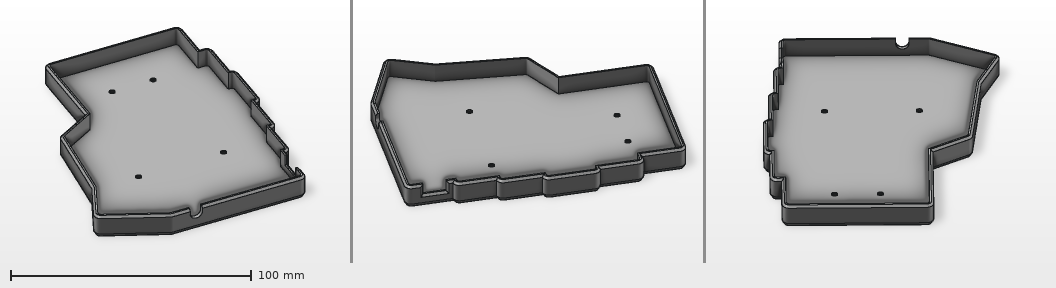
import cadquery as cq
import math

height = 10.6
floor_thickness = 2.3

outer_offset = 3.0
cavity_offset = 1.25

edge_inset = 1.0
top_edge_height = 1.0
bottom_edge_height = 1.75

key_pitch = 19.05
columns = 6
rows = 3
stagger = 2.375
last_step_inset = 1.05

plate_width = columns * key_pitch
low_row_top = rows * key_pitch

step_blocks = [
    (key_pitch, 5 * key_pitch - last_step_inset, stagger),
    (key_pitch, 4 * key_pitch, 2 * stagger),
    (2 * key_pitch, 3 * key_pitch, 3 * stagger),
]

thumb_start = (2 * key_pitch, 0)
thumb_slant_angle = 60
thumb_slant_length = 19.2
thumb_middle = (85.4, -20.7)
thumb_tip = (102.6, -28.34)
thumb_side_angle = 66

screw_diameter = 2.5
screw_head_diameter = 4.8
screw_head_depth = 1.7
left_screw_x = 17.1
right_screw_x = 4 * key_pitch
front_right_screw_y = 2.2
back_right_screw_y = 41.6
screw_points = [
    (left_screw_x, key_pitch),
    (left_screw_x, 2 * key_pitch),
    (right_screw_x, front_right_screw_y),
    (right_screw_x, back_right_screw_y),
]

back_notch_column = 5.5
back_notch_width = 10.0
back_notch_floor = 5.55

side_notch_diameter = 5.6
side_notch_y = 8.8
side_notch_axis_z = 8.3

notch_reach = 8.0


def base_outline():
    """Plate outline without the raised columns along its back edge."""
    slant = math.radians(thumb_slant_angle)
    slant_end = (
        thumb_start[0] + thumb_slant_length * math.cos(slant),
        thumb_start[1] - thumb_slant_length * math.sin(slant),
    )
    side_rise = (plate_width - thumb_tip[0]) * math.tan(math.radians(thumb_side_angle))
    return [
        (0, 0),
        thumb_start,
        slant_end,
        thumb_middle,
        thumb_tip,
        (plate_width, thumb_tip[1] + side_rise),
        (plate_width, low_row_top),
        (0, low_row_top),
    ]


def step_outline(start_x, end_x, rise):
    """Block of neighbouring columns reaching past the lowest row top."""
    top_y = low_row_top + rise
    return [(start_x, 0), (end_x, 0), (end_x, top_y), (start_x, top_y)]


def plate_pieces():
    steps = [step_outline(*block) for block in step_blocks]
    return [base_outline()] + steps


def offset_wire(outline, offset, z):
    """Outline moved outward with rounded convex corners, placed at height z."""
    sharp = cq.Workplane("XY").workplane(offset=z).polyline(outline).close()
    return sharp.offset2D(offset, "arc").val()


def offset_prism(outline, offset, bottom, top):
    """Straight prism around an outline, with convex corners rounded."""
    sections = [offset_wire(outline, offset, z) for z in (bottom, top)]
    return cq.Workplane(cq.Solid.makeLoft(sections, ruled=True))


def sloped_prism(outline):
    """Outer prism with its top and bottom edges sloped inward."""
    sections = [
        offset_wire(outline, outer_offset - edge_inset, 0),
        offset_wire(outline, outer_offset, bottom_edge_height),
        offset_wire(outline, outer_offset, height - top_edge_height),
        offset_wire(outline, outer_offset - edge_inset, height),
    ]
    return cq.Workplane(cq.Solid.makeLoft(sections, ruled=True))


def join(pieces):
    joined = pieces[0]
    for piece in pieces[1:]:
        joined = joined.union(piece)
    return joined


def make_body():
    return join([sloped_prism(outline) for outline in plate_pieces()])


def make_cavity():
    return join([
        offset_prism(outline, cavity_offset, floor_thickness, height)
        for outline in plate_pieces()
    ])


def back_notch_section(flare):
    """Notch rectangle, open at the rim, widened by the flare at its sides and floor."""
    half_width = back_notch_width / 2 + flare
    floor_z = back_notch_floor - flare
    return [(-half_width, floor_z), (half_width, floor_z), (half_width, height), (-half_width, height)]


def make_back_notch():
    """Notch through the back wall, flaring outward over the outer part of the wall."""
    center_x = back_notch_column * key_pitch
    outer_y = low_row_top + outer_offset
    straight = cq.Workplane("XY").box(
        back_notch_width, notch_reach, height, centered=(True, True, False)
    ).translate((center_x, outer_y, back_notch_floor))
    flared = (
        cq.Workplane("XZ", origin=(center_x, outer_y - edge_inset, 0))
        .polyline(back_notch_section(0))
        .close()
        .workplane(offset=-edge_inset)
        .polyline(back_notch_section(edge_inset))
        .close()
        .loft(ruled=True)
    )
    return straight.union(flared)


def make_side_notch():
    start_x = plate_width + outer_offset - notch_reach / 2
    round_bottom = (
        cq.Workplane("YZ", origin=(start_x, side_notch_y, side_notch_axis_z))
        .circle(side_notch_diameter / 2)
        .extrude(notch_reach)
    )
    open_top = cq.Workplane("XY").box(
        notch_reach, side_notch_diameter, height, centered=(False, True, False)
    ).translate((start_x, side_notch_y, side_notch_axis_z))
    return round_bottom.union(open_top)


def make_screw_holes():
    """Through holes with head recesses in the underside."""
    shanks = cq.Workplane("XY").pushPoints(screw_points).circle(screw_diameter / 2).extrude(height)
    heads = (
        cq.Workplane("XY")
        .pushPoints(screw_points)
        .circle(screw_head_diameter / 2)
        .extrude(screw_head_depth)
    )
    return shanks.union(heads)


result = (
    make_body()
    .cut(make_cavity())
    .cut(make_back_notch())
    .cut(make_side_notch())
    .cut(make_screw_holes())
)